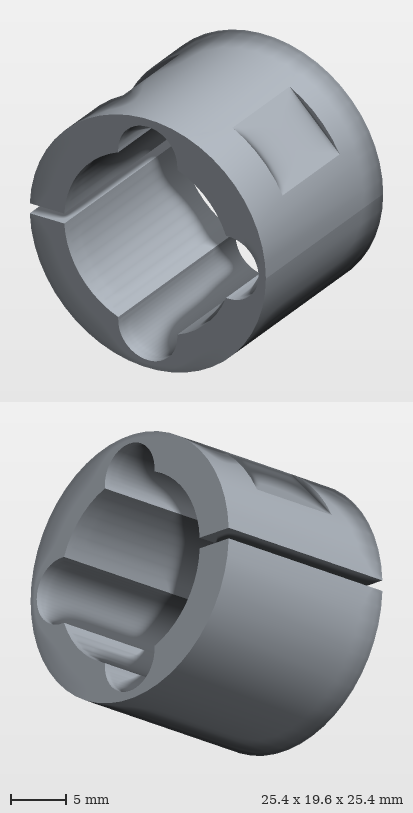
import cadquery as cq

outer_diameter = 25.4
length = 19.63
bore_radius = 9.0

channel_radius = 3.18
channel_reach = 11.9
channel_angles = (-90, 0, 90)

slit_width = 1.02

flat_distance = 12.12
flat_length = 9.52
flat_angles = (45, 135)

outer_radius = outer_diameter / 2


def cylinder_along_y(radius):
    """Full-length cylinder on the sleeve axis."""
    return cq.Workplane("XZ").circle(radius).extrude(length / 2, both=True)


def turn_about_axis(body, angle):
    """Turn a body from the +X side toward +Z."""
    return body.rotate((0, 0, 0), (0, 1, 0), -angle)


def channel(angle):
    """Round-bottomed channel with parallel side walls that open into the bore."""
    centre_distance = channel_reach - channel_radius
    round_bottom = cylinder_along_y(channel_radius).translate((centre_distance, 0, 0))
    straight_mouth = cq.Workplane("XY").box(
        centre_distance, length, 2 * channel_radius, centered=(False, True, True)
    )
    return turn_about_axis(round_bottom.union(straight_mouth), angle)


def flat_cutter(angle):
    """Block whose inner face forms one flat."""
    block = cq.Workplane("XY").box(
        outer_radius, flat_length, outer_diameter, centered=(False, True, True)
    )
    return turn_about_axis(block.translate((flat_distance, 0, 0)), angle)


def slit_cutter():
    """Block reaching from the sleeve axis out through the -X wall."""
    block = cq.Workplane("XY").box(
        outer_diameter, length, slit_width, centered=(False, True, True)
    )
    return block.translate((-outer_diameter, 0, 0))


sleeve = cylinder_along_y(outer_radius).cut(cylinder_along_y(bore_radius))
for channel_angle in channel_angles:
    sleeve = sleeve.cut(channel(channel_angle))
for flat_angle in flat_angles:
    sleeve = sleeve.cut(flat_cutter(flat_angle))

result = sleeve.cut(slit_cutter())